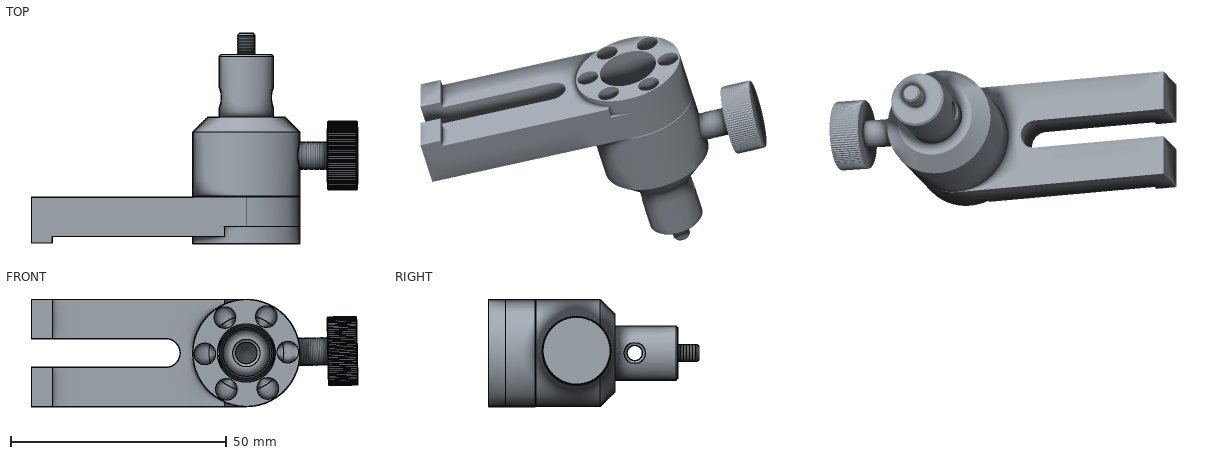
import cadquery as cq
import math


body_diameter = 25.0
body_radius = body_diameter / 2
edge_chamfer = 0.2
flange_chamfer = 0.1
swivel_angle = 1.2

flange_thickness = 4.0
hub_diameter = 17.4
base_bore_diameter = 13.5
pocket_diameter = 5.0
pocket_depth = 3.8
pocket_circle_diameter = 19.3
pocket_count = 6

fork_reach = 50.0
fork_back = 10.9
fork_front = 1.7
toe_front = 0.15
toe_length = 4.9
slot_width = 6.6
slot_end = 15.4
recess_edge = 5.1

housing_top = 29.5
housing_top_diameter = 18.0
relief_diameter = 9.9
relief_reach = 6.7

post_diameter = 12.7
post_radius = post_diameter / 2
post_length = 30.0
post_top = 44.1
post_bottom = post_top - post_length
post_top_chamfer = 0.45
post_rim_diameter = 11.85
post_dish_diameter = 10.9
cross_hole_diameter = 3.5
cross_hole_sink_diameter = 4.95
cross_hole_sink_start = 5.9
cross_hole_sink_depth = 0.4
cross_hole_from_top = 10.0
tapped_hole_diameter = 5.0
tapped_hole_mouth_diameter = 6.4
tapped_hole_depth = 9.9
drill_tip_angle = 118.0

stud_diameter = 4.0
stud_tip_diameter = 3.3
stud_tip_length = 0.5
stud_top = 49.0
stud_depth = 6.1
stud_pitch = 0.7

screw_y = 20.5
screw_diameter = 6.4
screw_pitch = 1.27
knob_diameter = 16.0
knob_start = 18.9
knob_end = 25.8
knurl_count = 90
knurl_depth = 0.15
thread_depth = 0.06
thread_crest = 1 / 3


def y_cylinder(diameter, start, end):
    """Cylinder on the Y axis between two Y positions."""
    return cq.Workplane("XZ", origin=(0, start, 0)).circle(diameter / 2).extrude(start - end)


def y_revolve(points):
    """Solid of revolution about the Y axis from (radius, y) points."""
    return cq.Workplane("XY").polyline(points).close().revolve(360, (0, 0), (0, 1))


def swivel(body):
    """Turn a body about the post axis so that its +X side rises."""
    return body.rotate((0, 0, 0), (0, 1, 0), -swivel_angle)


def threaded_side(radius, start, end, nominal_pitch):
    """(radius, position) points of a row of shallow V grooves that fills the length evenly."""
    points = [(radius, start)]
    groove_count = round((end - start) / nominal_pitch)
    pitch = (end - start) / groove_count
    groove_half = pitch * (1 - thread_crest) / 2
    for index in range(groove_count):
        middle = start + (index + 0.5) * pitch
        points.append((radius, middle - groove_half))
        points.append((radius - thread_depth, middle))
        points.append((radius, middle + groove_half))
    points.append((radius, end))
    return points


def make_fork():
    outline = (
        cq.Workplane("XZ", origin=(0, fork_back, 0))
        .moveTo(-fork_reach, -body_radius)
        .lineTo(0, -body_radius)
        .threePointArc((body_radius, 0), (0, body_radius))
        .lineTo(-fork_reach, body_radius)
        .close()
    )
    fork = outline.extrude(fork_back - toe_front)

    arm_length = fork_reach - toe_length + body_radius
    step = cq.Workplane("XY").box(arm_length, fork_front, body_diameter, centered=(False, False, True))
    fork = fork.cut(step.translate((toe_length - fork_reach, 0, 0)))

    recess = cq.Workplane("XY").box(
        recess_edge + body_radius, flange_thickness, body_diameter, centered=(False, False, True)
    )
    fork = fork.cut(recess.translate((-recess_edge, 0, 0)))
    fork = fork.cut(y_cylinder(body_diameter, 0, flange_thickness))

    slot_radius = slot_width / 2
    slot_center = -slot_end - slot_radius
    slot = (
        cq.Workplane("XZ", origin=(0, fork_back, 0))
        .moveTo(-fork_reach, -slot_radius)
        .lineTo(slot_center, -slot_radius)
        .threePointArc((-slot_end, 0), (slot_center, slot_radius))
        .lineTo(-fork_reach, slot_radius)
        .close()
        .extrude(fork_back)
    )
    return fork.cut(slot).cut(y_cylinder(hub_diameter, 0, fork_back))


def make_base():
    flange = y_cylinder(body_diameter, 0, flange_thickness).faces("<Y").edges().chamfer(flange_chamfer)
    base = flange.union(y_cylinder(hub_diameter, 0, fork_back))
    base = base.cut(y_cylinder(base_bore_diameter, 0, fork_back))
    pockets = (
        cq.Workplane("XZ")
        .polarArray(pocket_circle_diameter / 2, 0, 360, pocket_count)
        .circle(pocket_diameter / 2)
        .extrude(-pocket_depth)
    )
    return swivel(base.cut(pockets))


def make_housing():
    cone_height = (body_diameter - housing_top_diameter) / 2
    housing = y_cylinder(body_diameter, fork_back, housing_top)
    housing = housing.faces(">Y").edges().chamfer(cone_height)
    housing = housing.faces("<Y").edges().chamfer(edge_chamfer)
    housing = housing.cut(y_cylinder(post_diameter, fork_back, housing_top))

    for side in (-1, 1):
        relief = y_cylinder(relief_diameter, fork_back, housing_top)
        offset = side * (relief_reach - relief_diameter / 2)
        housing = housing.cut(relief.translate((offset, 0, 0)))

    screw_hole = cq.Workplane("YZ").center(screw_y, 0).circle(screw_diameter / 2).extrude(body_radius)
    return swivel(housing.cut(screw_hole))


def make_post():
    post = y_cylinder(post_diameter, post_bottom, post_top)
    post = post.faces(">Y").edges().chamfer(post_top_chamfer)
    post = post.cut(y_cylinder(stud_diameter, post_top - stud_depth, post_top))

    rim_radius = post_rim_diameter / 2
    dish_radius = post_dish_diameter / 2
    dish_floor = post_bottom + rim_radius - dish_radius
    hole_radius = tapped_hole_diameter / 2
    mouth_radius = tapped_hole_mouth_diameter / 2
    hole_end = dish_floor + tapped_hole_depth
    tip_height = hole_radius / math.tan(math.radians(drill_tip_angle / 2))
    post = post.cut(y_revolve([
        (0, post_bottom),
        (rim_radius, post_bottom),
        (dish_radius, dish_floor),
        (mouth_radius, dish_floor),
        (hole_radius, dish_floor + mouth_radius - hole_radius),
        (hole_radius, hole_end),
        (0, hole_end + tip_height),
    ]))

    hole_radius = cross_hole_diameter / 2
    sink_radius = cross_hole_sink_diameter / 2
    sink_end = cross_hole_sink_start - cross_hole_sink_depth
    half_hole = [
        (0, 0),
        (0, hole_radius),
        (sink_end, hole_radius),
        (cross_hole_sink_start, sink_radius),
        (post_radius, sink_radius),
        (post_radius, 0),
    ]
    cutter = cq.Workplane("XY").polyline(half_hole).close().revolve(360, (0, 0), (1, 0))
    cutter = cutter.union(cutter.mirror("YZ"))
    return post.cut(cutter.translate((0, post_top - cross_hole_from_top, 0)))


def make_stud():
    stud_bottom = post_top - stud_depth
    side = threaded_side(stud_diameter / 2, stud_bottom, stud_top - stud_tip_length, stud_pitch)
    return y_revolve([(0, stud_bottom), *side, (stud_tip_diameter / 2, stud_top), (0, stud_top)])


def make_thumbscrew():
    side = threaded_side(screw_diameter / 2, post_radius, knob_start, screw_pitch)
    profile = [(post_radius, 0), *[(x, radius) for radius, x in side], (knob_start, 0)]
    shank = cq.Workplane("XY").polyline(profile).close().revolve(360, (0, 0), (1, 0))

    rim_radius = knob_diameter / 2
    rim = []
    for index in range(2 * knurl_count):
        angle = math.pi * index / knurl_count
        radius = rim_radius - knurl_depth * (index % 2)
        rim.append((radius * math.cos(angle), radius * math.sin(angle)))
    knob_length = knob_end - knob_start
    knob = cq.Workplane("YZ", origin=(knob_start, 0, 0)).polyline(rim).close().extrude(knob_length)
    blank = cq.Workplane("YZ", origin=(knob_start, 0, 0)).circle(rim_radius).extrude(knob_length)
    knob = knob.intersect(blank.faces("<X or >X").edges().chamfer(edge_chamfer))

    return swivel(shank.union(knob).translate((0, screw_y, 0)))


fork = make_fork()
base = make_base()
housing = make_housing()
post = make_post()
stud = make_stud()
thumbscrew = make_thumbscrew()

result = cq.Compound.makeCompound([
    fork.val(),
    base.val(),
    housing.val(),
    post.val(),
    stud.val(),
    thumbscrew.val(),
])